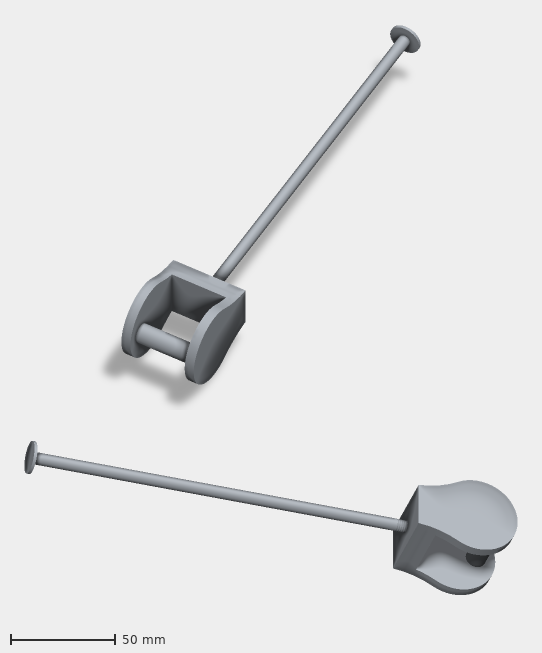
import cadquery as cq
import math

fork_width = 40.0
cheek_thickness = 5.0
cheek_radius = 19.92
block_thickness = 10.0
cheek_to_back = 30.0
neck_radius = 46.0
flank_tangent_angle = math.radians(30)
pin_diameter = 10.0
pin_offset = 10.0

rod_length = 189.68
rod_diameter = 6.0
head_diameter = 16.0
head_thickness = 1.5
ridged_length = 5.0
ridge_pitch = 1.0
ridge_depth = 0.3

block_front = cheek_to_back - block_thickness
inner_width = fork_width - 2 * cheek_thickness

flank_centre_y = (cheek_radius + neck_radius) * math.sin(flank_tangent_angle)
flank_centre_z = (cheek_radius + neck_radius) * math.cos(flank_tangent_angle)


def flank_point(angle):
    """Point (y, z) of the upper flank where its slope has the given angle."""
    return flank_centre_y - neck_radius * math.sin(angle), flank_centre_z - neck_radius * math.cos(angle)


def fork_profile():
    """Side outline of the fork, extruded over its full width."""
    end_angle = math.asin((flank_centre_y - cheek_to_back) / neck_radius)
    tangent_y, tangent_z = flank_point(flank_tangent_angle)
    middle_y, middle_z = flank_point((flank_tangent_angle + end_angle) / 2)
    end_y, end_z = flank_point(end_angle)
    return (
        cq.Workplane("YZ", origin=(-fork_width / 2, 0, 0))
        .moveTo(end_y, -end_z)
        .threePointArc((middle_y, -middle_z), (tangent_y, -tangent_z))
        .threePointArc((-cheek_radius, 0), (tangent_y, tangent_z))
        .threePointArc((middle_y, middle_z), (end_y, end_z))
        .close()
        .extrude(fork_width)
    )


def make_fork():
    """Fork with its opening cut through the profile and the pin joined to both cheeks."""
    opening_length = block_front + cheek_radius
    opening = (
        cq.Workplane("XY", origin=(0, block_front - opening_length / 2, 0))
        .box(inner_width, opening_length, 2 * cheek_radius)
    )
    pin = (
        cq.Workplane("YZ", origin=(-inner_width / 2, 0, 0))
        .center(-pin_offset, 0)
        .circle(pin_diameter / 2)
        .extrude(inner_width)
    )
    return fork_profile().cut(opening).union(pin)


def make_rod():
    """Rod turned about the Y axis, resting against the back of the fork."""
    crest_radius = rod_diameter / 2
    rod_end = cheek_to_back + rod_length
    head_face = rod_end - head_thickness
    outline = cq.Workplane("XY").moveTo(0, cheek_to_back).lineTo(crest_radius, cheek_to_back)
    for ridge in range(round(ridged_length / ridge_pitch)):
        groove_start = cheek_to_back + ridge * ridge_pitch
        outline = outline.lineTo(crest_radius - ridge_depth, groove_start + ridge_pitch / 2)
        outline = outline.lineTo(crest_radius, groove_start + ridge_pitch)
    return (
        outline.lineTo(crest_radius, head_face)
        .lineTo(head_diameter / 2, head_face)
        .lineTo(head_diameter / 2, rod_end)
        .lineTo(0, rod_end)
        .close()
        .revolve(360, (0, 0, 0), (0, 1, 0))
    )


fork = make_fork()
rod = make_rod()
result = cq.Compound.makeCompound([fork.val(), rod.val()])